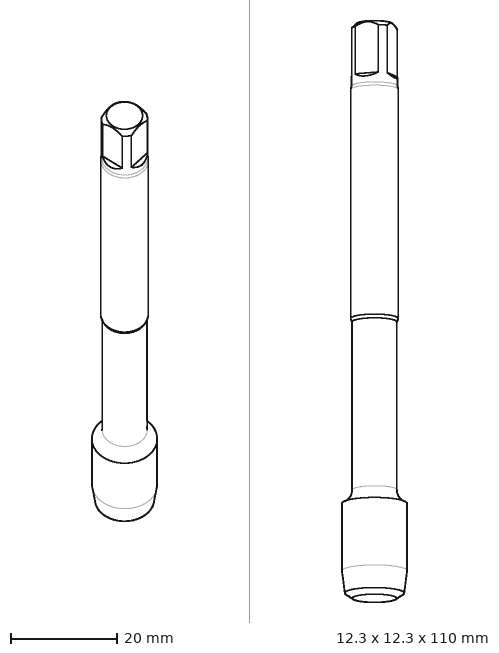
import cadquery as cq
import math

TOTAL_LENGTH = 110.0

HEAD_DIAMETER = 12.3
HEAD_LENGTH = 18.2
LEAD_LENGTH = 5.3
LEAD_SMALL_DIAMETER = 11.2
TIP_FACE_DIAMETER = 8.4
TIP_CHAMFER_HEIGHT = 1.0

NECK_DIAMETER = 8.5
NECK_START = 20.8
SHANK_DIAMETER = 9.0
SHANK_START = 52.9
SHANK_CHAMFER_HEIGHT = 0.7
DRIVE_DIAMETER = 8.7
DRIVE_START = 98.1

SQUARE_WIDTH = 7.3
FLAT_BOTTOM = 100.0
DRIVE_TOP_DIAMETER = 6.8

head_radius = HEAD_DIAMETER / 2
neck_radius = NECK_DIAMETER / 2
shank_radius = SHANK_DIAMETER / 2
drive_radius = DRIVE_DIAMETER / 2
drive_top_radius = DRIVE_TOP_DIAMETER / 2


def revolve_profile(profile):
    """Turn a closed radius-height profile around the Z axis."""
    return profile.close().revolve(360, (0, 0, 0), (0, 1, 0))


def make_head():
    """Cylindrical cutting head with a tapered lead and a chamfered tip."""
    return revolve_profile(
        cq.Workplane("XZ")
        .lineTo(TIP_FACE_DIAMETER / 2, 0)
        .lineTo(LEAD_SMALL_DIAMETER / 2, TIP_CHAMFER_HEIGHT)
        .lineTo(head_radius, LEAD_LENGTH)
        .lineTo(head_radius, HEAD_LENGTH)
        .lineTo(0, HEAD_LENGTH)
    )


def flare_midpoint():
    """Middle of the concave flare arc, which meets the neck tangentially."""
    rise = NECK_START - HEAD_LENGTH
    spread = head_radius - neck_radius
    arc_radius = (rise**2 + spread**2) / (2 * spread)
    half_angle = math.asin(rise / arc_radius) / 2
    radius = neck_radius + arc_radius * (1 - math.cos(half_angle))
    height = NECK_START - arc_radius * math.sin(half_angle)
    return radius, height


def make_turned_shank():
    """Flare, neck, shank and round drive end, with 45 degree top chamfer."""
    top_chamfer = drive_radius - drive_top_radius
    return revolve_profile(
        cq.Workplane("XZ")
        .moveTo(0, HEAD_LENGTH)
        .lineTo(head_radius, HEAD_LENGTH)
        .threePointArc(flare_midpoint(), (neck_radius, NECK_START))
        .lineTo(neck_radius, SHANK_START)
        .lineTo(shank_radius, SHANK_START + SHANK_CHAMFER_HEIGHT)
        .lineTo(shank_radius, DRIVE_START - SHANK_CHAMFER_HEIGHT)
        .lineTo(drive_radius, DRIVE_START)
        .lineTo(drive_radius, TOTAL_LENGTH - top_chamfer)
        .lineTo(drive_top_radius, TOTAL_LENGTH)
        .lineTo(0, TOTAL_LENGTH)
    )


def make_flat_cutter():
    """Prism that mills one drive flat and leaves a 45 degree run-out below it."""
    flat_distance = SQUARE_WIDTH / 2
    cut_depth = shank_radius - flat_distance
    return (
        cq.Workplane("XZ")
        .moveTo(flat_distance, TOTAL_LENGTH)
        .lineTo(flat_distance, FLAT_BOTTOM)
        .lineTo(shank_radius, FLAT_BOTTOM - cut_depth)
        .lineTo(shank_radius, TOTAL_LENGTH)
        .close()
        .extrude(shank_radius, both=True)
    )


def make_shank():
    """Turned shank with four flats forming the square drive."""
    shank = make_turned_shank()
    for angle in (0, 90, 180, 270):
        shank = shank.cut(make_flat_cutter().rotate((0, 0, 0), (0, 0, 1), angle))
    return shank


head = make_head()
shank = make_shank()

result = cq.Compound.makeCompound([head.val(), shank.val()])